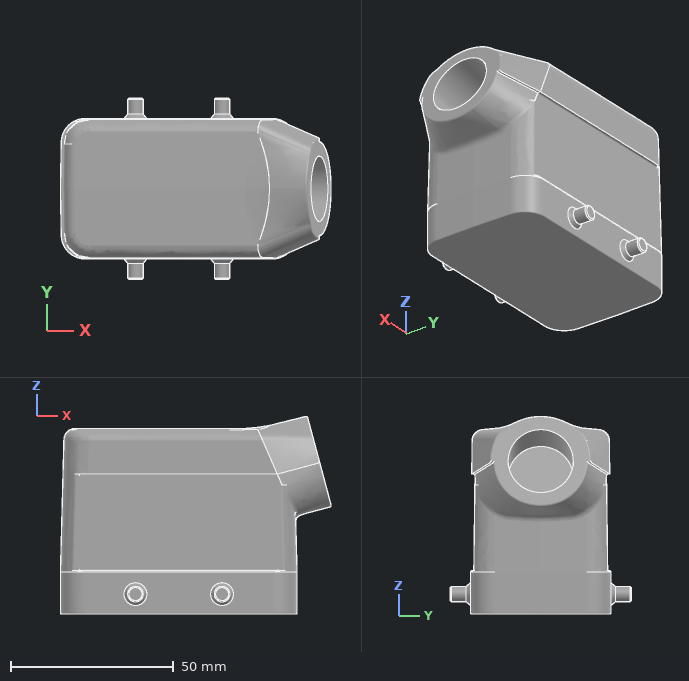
import cadquery as cq
import math

BODY_LENGTH = 72.75
BODY_WIDTH = 43.2
SKIRT_HEIGHT = 12.9
BODY_HEIGHT = 57.05
END_DRAFT = 1.5
SIDE_DRAFT = 0.7
ROOF_ANGLE = 1.0
CORNER_RADIUS = 7.5
TOP_FILLET = 3.6
BOTTOM_FILLET = 0.4

PANEL_BOTTOM = 13.35
PANEL_TOP = 43.0
PANEL_DEPTH = 1.0
PANEL_RUNOUT_FILLET = 1.2
PANEL_LEDGE_CHAMFER = 0.4
PANEL_COVE_RADIUS = 0.4
PANEL_COVE_LENGTH = 61.0

PIN_SPACING = 26.6
PIN_HEIGHT = 6.15
PIN_TIP_Y = 27.8
PIN_DIAMETER = 4.8
PIN_CHAMFER = 0.4
PIN_ROOT_DEPTH = 1.0
PIN_FOOT_DIAMETER = 7.0
PIN_FOOT_TOP_Y = 22.95

CUT_ANGLE = 23.5
CUT_TOP_X = 24.15
CUT_FOOT_Z = 39.6

MOUTH_ANGLE = 15.0
MOUTH_X = 43.2
MOUTH_Z = 47.0
MOUTH_CROWN = 14.35
MOUTH_SHOULDER = (10.9, 10.0)
MOUTH_CHEEK = (14.1, 6.6)
MOUTH_CHEEK_BULGE = (15.2, 3.0)
MOUTH_STEP = -0.5
MOUTH_FLAT_END = -4.65
MOUTH_LOWER_RADIUS = 14.5
MOUTH_KEEL_ANGLE = -60.0
MOUTH_RIM_FILLET = 0.6
BORE_DIAMETER = 20.0
BORE_DEPTH = 20.0

ROOT_DEPTH = 13.6
ROOT_FLAT_HALF = 11.0
ROOT_BOTTOM = -14.6
ROOT_CORNER_INSET = 2.6
ROOT_CORNER_DROP = 6.6
THROAT_FILLET = 2.0

LENS_RADIUS = 31.0
LENS_FLATNESS = 0.5
LENS_REACH = 0.98
LENS_SLICES = 4
LENS_KEEL = 1.0


def tan(degrees):
    return math.tan(math.radians(degrees))


def mirrored(point):
    return (-point[0], point[1])



def half_width(z):
    """Half width of the body at height z."""
    return BODY_WIDTH / 2 - max(z - SKIRT_HEIGHT, 0) * tan(SIDE_DRAFT)


def outline(z):
    """Body outline at height z: a rectangle whose ends peak at y = 0."""
    peak = BODY_LENGTH / 2 - max(z - SKIRT_HEIGHT, 0) * tan(END_DRAFT)
    y = half_width(z)
    shoulder = peak - y * tan(ROOF_ANGLE)
    points = [(peak, 0), (shoulder, y), (-shoulder, y), (-peak, 0), (-shoulder, -y), (shoulder, -y)]
    return cq.Wire.makePolygon([cq.Vector(px, py, z) for px, py in points], close=True)


def sharp_block(z_bottom, z_top):
    return cq.Workplane(cq.Solid.makeLoft([outline(z_bottom), outline(z_top)], True))


def round_block(z_bottom, z_top):
    """Body slice between two heights with its four upright corners rounded."""
    def is_corner(edge):
        centre = edge.Center()
        return z_bottom + 1 < centre.z < z_top - 1 and abs(centre.y) > BODY_WIDTH / 4

    return sharp_block(z_bottom, z_top).edges().filter(is_corner).fillet(CORNER_RADIUS)


def make_shell():
    """Drafted upper part under a shallow roof, rounded all round the top."""
    y = BODY_WIDTH
    eaves = BODY_HEIGHT - y * tan(ROOF_ANGLE)
    under_roof = (
        cq.Workplane("YZ")
        .polyline([(-y, 0), (y, 0), (y, eaves), (0, BODY_HEIGHT), (-y, eaves)])
        .close()
        .extrude(BODY_LENGTH, both=True)
    )
    shell = round_block(SKIRT_HEIGHT, BODY_HEIGHT + 1).intersect(under_roof)

    def is_rim(edge):
        centre = edge.Center()
        on_ridge = abs(centre.x) < 1 and abs(centre.y) < 1
        return centre.z > BODY_HEIGHT - 2 and not on_ridge

    return shell.edges().filter(is_rim).fillet(TOP_FILLET)


def make_body():
    skirt = round_block(0, SKIRT_HEIGHT).faces("<Z").edges().fillet(BOTTOM_FILLET)
    outlet_half = cq.Workplane("XY").box(
        BODY_LENGTH, 2 * BODY_WIDTH, 2 * BODY_HEIGHT, centered=(False, True, False)
    )
    square_end = sharp_block(PANEL_TOP, BODY_HEIGHT - 2 * TOP_FILLET).intersect(outlet_half)
    return skirt.union(make_shell()).union(square_end)



def panel_cutter(side):
    """Space outside the panel floor on one side (+1 or -1)."""
    y_wall = half_width(PANEL_BOTTOM)
    y_bottom = y_wall - PANEL_DEPTH
    y_top = half_width(PANEL_TOP) - PANEL_DEPTH
    return (
        cq.Workplane("YZ")
        .polyline([
            (side * y_bottom, PANEL_BOTTOM),
            (side * (y_wall - PANEL_LEDGE_CHAMFER), PANEL_BOTTOM),
            (side * (y_wall + PANEL_LEDGE_CHAMFER), PANEL_BOTTOM - 2 * PANEL_LEDGE_CHAMFER),
            (side * BODY_WIDTH, PANEL_BOTTOM),
            (side * BODY_WIDTH, PANEL_TOP),
            (side * y_top, PANEL_TOP),
        ])
        .close()
        .extrude(BODY_LENGTH, both=True)
    )


def panel_coves(side):
    """Small concave strips along the top and bottom of the panel floor."""
    cutter = panel_cutter(side)
    y_middle = half_width((PANEL_BOTTOM + PANEL_TOP) / 2)

    def is_floor_edge(edge):
        return edge.Length() > BODY_LENGTH and abs(edge.Center().y) < y_middle

    rounded = cutter.edges().filter(is_floor_edge).fillet(PANEL_COVE_RADIUS)
    span = cq.Workplane("XY").box(PANEL_COVE_LENGTH, 4 * BODY_WIDTH, 4 * BODY_HEIGHT)
    return cutter.cut(rounded).intersect(span)


def cut_panels(body):
    for side in (-1, 1):
        body = body.cut(panel_cutter(side))

    def is_runout(edge):
        centre = edge.Center()
        beyond_floor = abs(centre.x) > PANEL_COVE_LENGTH / 2 and abs(centre.y) > half_width(0) - 2 * PANEL_DEPTH
        return beyond_floor and edge.Length() > 25 and edge.BoundingBox().zmin > SKIRT_HEIGHT

    body = body.edges().filter(is_runout).fillet(PANEL_RUNOUT_FILLET)
    for side in (-1, 1):
        body = body.union(panel_coves(side))
    return body



def tilted_plane(x, z, angle):
    """Plane facing +X and tilted up: local x runs along Y, local y runs up the slope."""
    normal = (math.cos(math.radians(angle)), 0, math.sin(math.radians(angle)))
    return cq.Plane(origin=(x, 0, z), xDir=(0, 1, 0), normal=normal)


CUT_PLANE = tilted_plane(CUT_TOP_X, BODY_HEIGHT, CUT_ANGLE)
MOUTH_PLANE = tilted_plane(MOUTH_X, MOUTH_Z, MOUTH_ANGLE)


def on_cut(y, z):
    """Local point of the cut plane at width y and height z."""
    return (y, (z - BODY_HEIGHT) / math.cos(math.radians(CUT_ANGLE)))


def on_circle(radius, degrees):
    return (radius * math.cos(math.radians(degrees)), radius * math.sin(math.radians(degrees)))


def top_edge():
    """Limits of the rounding along the long top edges: (y, z) on the roof and (y, z) on the side."""
    z_corner = BODY_HEIGHT - half_width(BODY_HEIGHT) * tan(ROOF_ANGLE)
    setback = TOP_FILLET / tan(45 + (ROOF_ANGLE + SIDE_DRAFT) / 2)
    y_roof = half_width(z_corner) - setback
    z_side = z_corner - setback
    return (y_roof, BODY_HEIGHT - y_roof * tan(ROOF_ANGLE)), (half_width(z_side), z_side)


def upper_cut_section():
    """Body section above the panel, lying in the cut plane."""
    (y_roof, z_roof), (y_side, z_side) = top_edge()
    diagonal = math.sqrt(0.5)
    middle = on_cut(y_roof + (y_side - y_roof) * diagonal, z_side + (z_roof - z_side) * diagonal)
    roof = on_cut(y_roof, z_roof)
    side = on_cut(y_side, z_side)
    step = on_cut(half_width(PANEL_TOP), PANEL_TOP)
    return (
        cq.Workplane(CUT_PLANE)
        .moveTo(*step)
        .lineTo(*side)
        .threePointArc(middle, roof)
        .lineTo(0, 0)
        .lineTo(*mirrored(roof))
        .threePointArc(mirrored(middle), mirrored(side))
        .lineTo(*mirrored(step))
        .close()
        .val()
    )


def crown_point(fraction):
    """Point of the mouth crown, from its top (0) to its shoulder (1)."""
    half_chord, height = MOUTH_SHOULDER
    sag = MOUTH_CROWN - height
    radius = (half_chord ** 2 + sag ** 2) / (2 * sag)
    angle = fraction * math.asin(half_chord / radius)
    return (radius * math.sin(angle), MOUTH_CROWN - radius * (1 - math.cos(angle)))


def upper_mouth_section():
    step = (MOUTH_LOWER_RADIUS + PANEL_DEPTH, MOUTH_STEP)
    corner_angle = math.degrees(
        math.atan2(MOUTH_CHEEK[1] + MOUTH_SHOULDER[1], MOUTH_CHEEK[0] + MOUTH_SHOULDER[0])
    )
    corner = on_circle(math.hypot(*MOUTH_CHEEK), corner_angle)
    crown_middle = crown_point(0.5)
    return (
        cq.Workplane(MOUTH_PLANE)
        .moveTo(*step)
        .threePointArc(MOUTH_CHEEK_BULGE, MOUTH_CHEEK)
        .threePointArc(corner, MOUTH_SHOULDER)
        .threePointArc(crown_middle, (0, MOUTH_CROWN))
        .threePointArc(mirrored(crown_middle), mirrored(MOUTH_SHOULDER))
        .threePointArc(mirrored(corner), mirrored(MOUTH_CHEEK))
        .threePointArc(mirrored(MOUTH_CHEEK_BULGE), mirrored(step))
        .close()
        .val()
    )


def lower_root_section():
    y_side = half_width(PANEL_TOP) - PANEL_DEPTH
    corner = (y_side - ROOT_CORNER_INSET, MOUTH_FLAT_END - ROOT_CORNER_DROP)
    return (
        cq.Workplane(MOUTH_PLANE)
        .workplane(offset=-ROOT_DEPTH)
        .moveTo(-y_side, MOUTH_STEP)
        .lineTo(-y_side, MOUTH_FLAT_END)
        .threePointArc(mirrored(corner), (-ROOT_FLAT_HALF, ROOT_BOTTOM))
        .lineTo(ROOT_FLAT_HALF, ROOT_BOTTOM)
        .threePointArc(corner, (y_side, MOUTH_FLAT_END))
        .lineTo(y_side, MOUTH_STEP)
        .close()
        .val()
    )


def lower_mouth_section():
    """Lower part of a circle, split into the same stretches as the root."""
    radius = MOUTH_LOWER_RADIUS
    step = math.degrees(math.asin(MOUTH_STEP / radius))
    flat_end = math.degrees(math.asin(MOUTH_FLAT_END / radius))
    right_side = [MOUTH_KEEL_ANGLE, flat_end, step]
    left_side = [-180 - angle for angle in reversed(right_side)]
    stops = left_side + right_side
    sketch = cq.Workplane(MOUTH_PLANE).moveTo(*on_circle(radius, stops[0]))
    for start, end in zip(stops, stops[1:]):
        sketch = sketch.threePointArc(on_circle(radius, (start + end) / 2), on_circle(radius, end))
    return sketch.close().val()


def lens_slice(fraction):
    """Slice of the roof blend at a fraction of the roof half width."""
    y_roof, z_roof = top_edge()[0]
    across = CUT_PLANE.toWorldCoords(on_cut(y_roof, z_roof)) - CUT_PLANE.origin
    crease = CUT_PLANE.origin + across * fraction
    ruling = MOUTH_PLANE.toWorldCoords(crown_point(fraction)) - crease
    along = ruling - across * (ruling.y / across.y)
    rise = math.atan2(along.z, along.x)
    setback = LENS_RADIUS * math.tan(rise / 2)
    bow = LENS_FLATNESS * LENS_RADIUS * (1 - math.cos(rise / 2))
    start = crease - cq.Vector(setback, 0, 0)
    end = crease + cq.Vector(math.cos(rise), 0, math.sin(rise)) * setback
    middle = (start + end) / 2 + cq.Vector(math.sin(rise / 2), 0, -math.cos(rise / 2)) * bow
    keel = crease - cq.Vector(0, 0, LENS_KEEL)
    return cq.Wire.assembleEdges([
        cq.Edge.makeThreePointArc(start, middle, end),
        cq.Edge.makeLine(end, keel),
        cq.Edge.makeLine(keel, start),
    ])


def roof_lens():
    slices = [lens_slice(LENS_REACH * k / LENS_SLICES) for k in range(LENS_SLICES + 1)]
    half = cq.Workplane(cq.Solid.makeLoft(slices))
    return half.union(half.mirror("XZ"))


def add_outlet(body):
    span = 2 * BODY_LENGTH
    above_foot = cq.Workplane("XY").workplane(offset=CUT_FOOT_Z).rect(span, span).extrude(span)
    beyond_cut = cq.Workplane(CUT_PLANE).rect(span, span).extrude(span)
    upper = cq.Workplane(cq.Solid.makeLoft([upper_cut_section(), upper_mouth_section()], True))
    lower = cq.Workplane(cq.Solid.makeLoft([lower_root_section(), lower_mouth_section()], True))
    return body.cut(beyond_cut.intersect(above_foot)).union(upper).union(lower).union(roof_lens())


def finish_outlet(part):
    """Round the throat under the outlet and the mouth rim, then bore the mouth."""
    underside = cq.Workplane(MOUTH_PLANE).workplane(offset=-ROOT_DEPTH / 2).center(0, ROOT_BOTTOM)
    throat_z = underside.plane.origin.z

    def is_throat(edge):
        box = edge.BoundingBox()
        near_end = box.xmin > BODY_LENGTH / 2 - 1 and box.xmax < BODY_LENGTH / 2
        return near_end and throat_z - 2.5 < box.zmin and box.zmax < throat_z + 0.5

    part = part.edges().filter(is_throat).fillet(THROAT_FILLET)
    mouth = cq.selectors.NearestToPointSelector((MOUTH_X, 0, MOUTH_Z))
    part = part.faces(mouth).edges().fillet(MOUTH_RIM_FILLET)
    return part.cut(cq.Workplane(MOUTH_PLANE).circle(BORE_DIAMETER / 2).extrude(-BORE_DEPTH))



def make_pin(x, side):
    y_wall = BODY_WIDTH / 2
    y_root = y_wall - PIN_ROOT_DEPTH
    radius = PIN_DIAMETER / 2
    foot_radius = PIN_FOOT_DIAMETER / 2
    profile = [
        (0, y_root),
        (foot_radius, y_root),
        (foot_radius, y_wall),
        (radius, PIN_FOOT_TOP_Y),
        (radius, PIN_TIP_Y - PIN_CHAMFER),
        (radius - PIN_CHAMFER, PIN_TIP_Y),
        (0, PIN_TIP_Y),
    ]
    pin = cq.Workplane("XY").polyline(profile).close().revolve(360, (0, 0), (0, 1))
    if side < 0:
        pin = pin.mirror("XZ")
    return pin.translate((x, 0, PIN_HEIGHT))


result = cut_panels(make_body())
result = finish_outlet(add_outlet(result))
for pin_side in (-1, 1):
    for pin_x in (-PIN_SPACING / 2, PIN_SPACING / 2):
        result = result.union(make_pin(pin_x, pin_side))